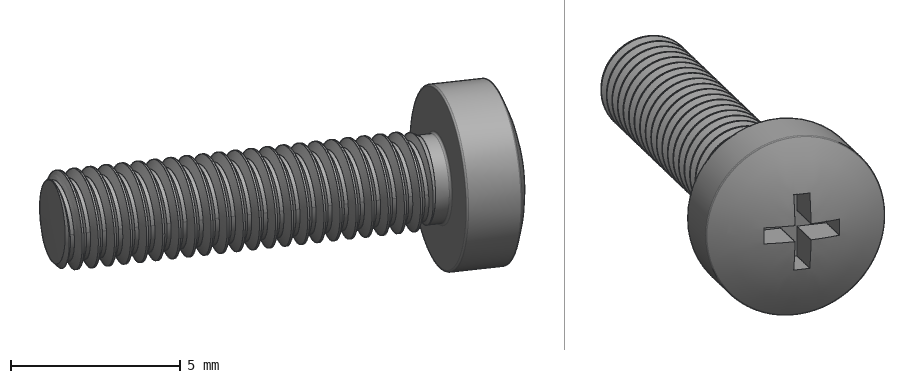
import cadquery as cq
import math


total_length = 14.38

head_diameter = 5.6
head_radius = head_diameter / 2
head_height = 2.4
dome_height = 0.69
dome_radius = (head_radius**2 + dome_height**2) / (2 * dome_height)
rim_edge_fillet = 0.05
bearing_edge_fillet = 0.06

recess_width = 0.5
recess_span = 2.36
recess_depth = 1.3

inner_corner_radius = recess_width / math.sqrt(2)
apex_loss = dome_radius - math.sqrt(dome_radius**2 - inner_corner_radius**2)

shank_length = total_length - (head_height - apex_loss)
pitches_per_shank = 24
pitch = shank_length / pitches_per_shank
major_radius = 1.5
flank_angle = 60.0
sharp_depth = pitch / 2 / math.tan(math.radians(flank_angle / 2))
thread_depth = sharp_depth * 5 / 8
root_radius = major_radius - thread_depth
crest_width = pitch / 8
neck_radius = 1.34
neck_length = pitch
neck_fillet = 0.07
neck_root = 0.15
lead_in_angle = 26.0
tip_face_radius = 1.27
tip_cone_height = 0.03
first_crest_offset = 0.26
crest_clearance = 0.15
thread_overrun = 2
root_overlap = 0.07


def revolve_about_axis(outline):
    """Close a (radius, Y) outline and spin it about the Y axis."""
    return outline.close().revolve(360, (0, 0, 0), (0, 1, 0))


def make_head():
    """Cylinder topped by a spherical dome, with both outer edges rounded."""
    cylinder_height = head_height - dome_height
    mid_radius = head_radius / 2
    mid_height = head_height - dome_radius + math.sqrt(dome_radius**2 - mid_radius**2)
    head = revolve_about_axis(
        cq.Workplane("XY")
        .lineTo(head_radius, 0)
        .lineTo(head_radius, cylinder_height)
        .threePointArc((mid_radius, mid_height), (0, head_height))
    )
    head = head.faces("%CYLINDER").edges("<Y").fillet(bearing_edge_fillet)
    return head.faces("%CYLINDER").edges(">Y").fillet(rim_edge_fillet)


def make_recess():
    """Two crossed slots sunk into the dome along the screw axis."""
    sizes = [(recess_span, recess_width), (recess_width, recess_span)]
    slots = [
        cq.Workplane("XY")
        .box(size_x, recess_depth, size_z)
        .translate((0, head_height - recess_depth / 2, 0))
        for size_x, size_z in sizes
    ]
    return slots[0].union(slots[1])


def make_neck():
    """Plain neck under the head, flared into the bearing face."""
    fillet_bulge = neck_fillet * (1 - math.sqrt(0.5))
    return revolve_about_axis(
        cq.Workplane("XY")
        .moveTo(0, neck_root)
        .lineTo(neck_radius + neck_fillet, neck_root)
        .lineTo(neck_radius + neck_fillet, 0)
        .threePointArc((neck_radius + fillet_bulge, -fillet_bulge), (neck_radius, -neck_fillet))
        .lineTo(neck_radius, -neck_length)
        .lineTo(0, -neck_length)
    )


def make_thread_envelope():
    """Room for the thread: clear of the crests, tapered at the start, chamfered at the conical tip."""
    outer_radius = major_radius + crest_clearance
    tip_rim = -shank_length + tip_cone_height
    lead_in = (outer_radius - neck_radius) / math.tan(math.radians(lead_in_angle))
    return revolve_about_axis(
        cq.Workplane("XY")
        .moveTo(0, -neck_length)
        .lineTo(neck_radius, -neck_length)
        .lineTo(outer_radius, -neck_length - lead_in)
        .lineTo(outer_radius, tip_rim + outer_radius - tip_face_radius)
        .lineTo(tip_face_radius, tip_rim)
        .lineTo(0, -shank_length)
    )


def make_thread():
    """Right-hand ridge around the core, overrunning both ends of the threaded length."""
    start = -shank_length + first_crest_offset - thread_overrun * pitch
    turns = math.ceil((-neck_length - start) / pitch) + thread_overrun
    base_radius = root_radius - root_overlap
    half_crest = crest_width / 2
    flank_slope = math.tan(math.radians(flank_angle / 2))
    half_base = half_crest + (major_radius - base_radius) * flank_slope
    path = cq.Workplane(cq.Wire.makeHelix(pitch, turns * pitch, base_radius))
    ridge = (
        cq.Workplane("XZ")
        .moveTo(base_radius, -half_base)
        .lineTo(major_radius, -half_crest)
        .lineTo(major_radius, half_crest)
        .lineTo(base_radius, half_base)
        .close()
        .sweep(path, isFrenet=True)
    )
    ridge = ridge.rotate((0, 0, 0), (0, 0, 1), 180)
    return ridge.rotate((0, 0, 0), (1, 0, 0), -90).translate((0, start, 0))


def make_core():
    """Plain rod of root radius under the thread."""
    return cq.Workplane("XZ").circle(root_radius).extrude(shank_length)


envelope = make_thread_envelope()
core = make_core().intersect(envelope)
thread = make_thread().intersect(envelope)
result = make_head().union(make_neck()).union(core).union(thread).cut(make_recess())